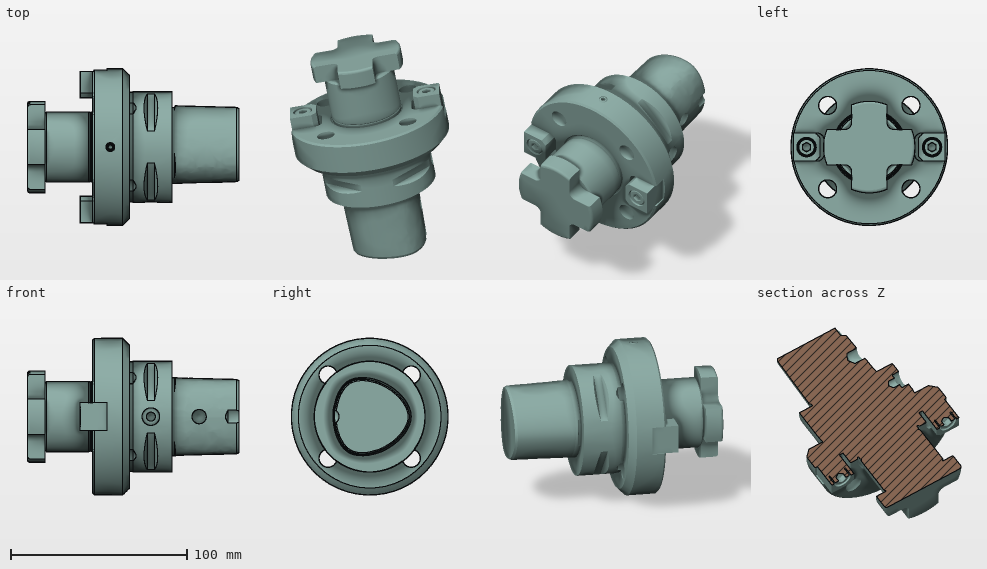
import math

import cadquery as cq

OVERALL_LENGTH = 120.0
EPS = 0.01
CLEARANCE = 1.0

CAP_RADIUS = 26.0
CAP_THICKNESS = 10.0
CAP_ARM_WIDTH = 20.0
CAP_CORNER_RADIUS = 4.0
CAP_EDGE_FILLET = 1.5

SPIGOT_RADIUS = 20.0
SPIGOT_CHAMFER = 0.9
RELIEF_RADIUS = 39.6 / 2
RELIEF_GROOVE_DEPTH = 0.4
RELIEF_GROOVE_WIDTH = 0.8
RELIEF_GROOVE_SLOPE = 0.3
RELIEF_GROOVE_GAP = 0.75
RELIEF_LENGTH = 2.3

FLANGE_FRONT = 37.0
FLANGE_BACK = 58.0
FLANGE_RADIUS = 44.5
FLANGE_FRONT_CHAMFER = 1.0
FLANGE_BACK_CHAMFER = 4.0
FLANGE_RECESS_RADIUS = 20.5
FLANGE_RECESS_DEPTH = 1.0
FLANGE_RECESS_CHAMFER = 0.6

BODY_RADIUS = 63.0 / 2
BODY_BACK = 82.0
BODY_NECK_RADIUS = BODY_RADIUS - 0.25
BODY_NECK_END = FLANGE_BACK + 1.8

BOLT_HOLE_DIAMETER = 10.11
BOLT_CIRCLE_RADIUS = 33.4
DIAGONAL_ANGLES = (45, 135, 225, 315)
DRILL_POINT_ANGLE = 118.0

GRIP_CENTER_X = 70.0
GRIP_FLOOR_DISTANCE = 27.8
GRIP_FLOOR_WIDTH = 4.0
GRIP_TOP_WIDTH = 7.8

SIDE_HOLE_DIAMETER = 10.0
SIDE_HOLE_DEPTH = 4.5
SIDE_PILOT_DIAMETER = 5.1
SIDE_PILOT_DEPTH = 4.0

KEY_WIDTH = 16.0
KEY_FRONT = 29.8
KEY_SEAT = 45.0
KEY_INNER = 27.9
KEY_OUTER = 43.0
KEY_CHAMFER = 2.7
SLOT_INNER = 25.7
SLOT_CORNER_RADIUS = 4.0

SCREW_POSITION = 35.6
SCREW_BORE_DIAMETER = 11.0
SCREW_BORE_DEPTH = 6.0
SCREW_HEAD_DIAMETER = 10.0
SCREW_HEAD_RECESS = 0.4
SCREW_HEAD_CHAMFER = 0.6
SCREW_SOCKET_SIZE = 4.7
SCREW_SOCKET_DEPTH = 3.0

SET_SCREW_X = 47.0
SET_SCREW_DIAMETER = 5.0
SET_SCREW_TOP = FLANGE_RADIUS + 0.15
SET_SCREW_LENGTH = 6.0
SET_SCREW_CHAMFER = 0.6
SET_SCREW_SOCKET_SIZE = 2.5
SET_SCREW_SOCKET_DEPTH = 2.0

SHANK_RADIUS = 22.08
SHANK_LOBE_COUNT = 3
SHANK_LOBE = 1.4
POINTS_PER_LOBE = 12
SHANK_TAPER = 1 / 40
SHANK_COLLAR_EXTRA = 0.12
SHANK_COLLAR_END = 2.1
SHANK_TAPER_START = 3.1
SHANK_CHAMFER_LENGTH = 1.4
SHANK_CHAMFER_DEPTH = 0.7
LOBE_RELIEF_RADIUS = 22.5
LOBE_RELIEF_FLOOR = 1.3
LOBE_RELIEF_END = 2.0

SHANK_HOLE_DIAMETER = 8.1
SHANK_HOLE_OFFSET = 15.4
SHANK_HOLE_DEPTH = 7.0
NOTCH_DIAMETER = 8.1
NOTCH_LENGTH = 6.2
NOTCH_AXIS_Y = -21.4


def revolve_profile(points):
    """Revolve a closed outline of (x, radius) points about the X axis."""
    return cq.Workplane("XY").polyline(points).close().revolve(360, (0, 0, 0), (1, 0, 0))


def rod(diameter, length, start, direction):
    """Cylinder from a start point along a direction."""
    cylinder = cq.Solid.makeCylinder(diameter / 2, length, cq.Vector(start), cq.Vector(direction))
    return cq.Workplane(cylinder)


def drill(diameter, length, start, direction):
    """Cylinder with a conical drill point beyond its length."""
    radius = diameter / 2
    axis = cq.Vector(direction)
    tip_height = radius / math.tan(math.radians(DRILL_POINT_ANGLE / 2))
    cone_base = cq.Vector(start) + axis * length
    tip = cq.Workplane(cq.Solid.makeCone(radius, 0, tip_height, cone_base, axis))
    return rod(diameter, length, start, direction).union(tip)


def hex_socket(size, depth, start, direction, x_direction):
    """Hexagonal socket with a conical bottom; its corners point along x_direction."""
    corner_diameter = size / math.cos(math.radians(30))
    plane = cq.Plane(origin=start, xDir=x_direction, normal=direction)
    hexagon = cq.Workplane(plane).polygon(6, corner_diameter).extrude(depth)
    point = drill(size, depth, start, direction)
    return hexagon.union(point)


def make_cap():
    """Disc with a rounded front edge, cut down to a cross."""
    disc = rod(2 * CAP_RADIUS, CAP_THICKNESS, (0, 0, 0), (1, 0, 0))
    disc = disc.faces("<X").edges().fillet(CAP_EDGE_FILLET)
    arm_length = 2 * (CAP_RADIUS + CLEARANCE)
    section = cq.Workplane("YZ")
    cross = section.rect(arm_length, CAP_ARM_WIDTH).extrude(CAP_THICKNESS)
    cross = cross.union(section.rect(CAP_ARM_WIDTH, arm_length).extrude(CAP_THICKNESS))
    inner_corner = CAP_ARM_WIDTH / 2 + EPS
    corner_box = cq.selectors.BoxSelector(
        (-CLEARANCE, -inner_corner, -inner_corner),
        (CAP_THICKNESS + CLEARANCE, inner_corner, inner_corner),
    )
    cross = cross.edges("|X").edges(corner_box).fillet(CAP_CORNER_RADIUS)
    return disc.intersect(cross)


def make_turned_body():
    """Spigot, flange and gripper body as one turned shape."""
    spigot_end = FLANGE_FRONT - RELIEF_LENGTH
    groove_back = FLANGE_FRONT - RELIEF_GROOVE_GAP
    groove_front = groove_back - RELIEF_GROOVE_WIDTH
    groove_radius = RELIEF_RADIUS - RELIEF_GROOVE_DEPTH
    return revolve_profile([
        (CAP_THICKNESS - EPS, 0),
        (CAP_THICKNESS - EPS, SPIGOT_RADIUS - SPIGOT_CHAMFER),
        (CAP_THICKNESS, SPIGOT_RADIUS - SPIGOT_CHAMFER),
        (CAP_THICKNESS + SPIGOT_CHAMFER, SPIGOT_RADIUS),
        (spigot_end, SPIGOT_RADIUS),
        (spigot_end, RELIEF_RADIUS),
        (groove_front, RELIEF_RADIUS),
        (groove_front + RELIEF_GROOVE_SLOPE, groove_radius),
        (groove_back - RELIEF_GROOVE_SLOPE, groove_radius),
        (groove_back, RELIEF_RADIUS),
        (FLANGE_FRONT + FLANGE_RECESS_DEPTH, RELIEF_RADIUS),
        (FLANGE_FRONT + FLANGE_RECESS_DEPTH, FLANGE_RECESS_RADIUS),
        (FLANGE_FRONT + FLANGE_RECESS_CHAMFER, FLANGE_RECESS_RADIUS),
        (FLANGE_FRONT, FLANGE_RECESS_RADIUS + FLANGE_RECESS_CHAMFER),
        (FLANGE_FRONT, FLANGE_RADIUS - FLANGE_FRONT_CHAMFER),
        (FLANGE_FRONT + FLANGE_FRONT_CHAMFER, FLANGE_RADIUS),
        (FLANGE_BACK - FLANGE_BACK_CHAMFER, FLANGE_RADIUS),
        (FLANGE_BACK, FLANGE_RADIUS - FLANGE_BACK_CHAMFER),
        (FLANGE_BACK, BODY_NECK_RADIUS),
        (BODY_NECK_END, BODY_NECK_RADIUS),
        (BODY_NECK_END, BODY_RADIUS),
        (BODY_BACK, BODY_RADIUS),
        (BODY_BACK, 0),
    ])


def polygon_section(x, radius):
    """Closed wire of the three-lobed constant-width curve, seams at the flats."""
    def curve_point(angle):
        support = radius + SHANK_LOBE * math.cos(SHANK_LOBE_COUNT * angle)
        slope = -SHANK_LOBE_COUNT * SHANK_LOBE * math.sin(SHANK_LOBE_COUNT * angle)
        y = support * math.cos(angle) - slope * math.sin(angle)
        z = support * math.sin(angle) + slope * math.cos(angle)
        return cq.Vector(x, y, z)

    def tangent(angle):
        return cq.Vector(0, -math.sin(angle), math.cos(angle))

    lobe_span = 2 * math.pi / SHANK_LOBE_COUNT
    edges = []
    for lobe in range(SHANK_LOBE_COUNT):
        start = (lobe - 0.5) * lobe_span
        end = start + lobe_span
        points = [
            curve_point(start + lobe_span * step / POINTS_PER_LOBE)
            for step in range(POINTS_PER_LOBE + 1)
        ]
        edges.append(cq.Edge.makeSpline(points, tangents=[tangent(start), tangent(end)]))
    return cq.Wire.assembleEdges(edges)


def make_shank():
    """Tapered polygon shank with its collar, lobe relief, coding hole and notch."""
    chamfer_start = OVERALL_LENGTH - SHANK_CHAMFER_LENGTH
    end_radius = SHANK_RADIUS - SHANK_TAPER * (OVERALL_LENGTH - BODY_BACK)
    chamfer_start_radius = end_radius + SHANK_TAPER * SHANK_CHAMFER_LENGTH
    collar_radius = SHANK_RADIUS + SHANK_COLLAR_EXTRA
    taper_start_radius = SHANK_RADIUS - SHANK_TAPER * SHANK_TAPER_START
    sections = [
        polygon_section(BODY_BACK - EPS, collar_radius),
        polygon_section(BODY_BACK + SHANK_COLLAR_END, collar_radius),
        polygon_section(BODY_BACK + SHANK_TAPER_START, taper_start_radius),
        polygon_section(chamfer_start, chamfer_start_radius),
        polygon_section(OVERALL_LENGTH, end_radius - SHANK_CHAMFER_DEPTH),
    ]
    shank = cq.Workplane(cq.Solid.makeLoft(sections, True))

    collar_lobe_radius = collar_radius + SHANK_LOBE
    lobe_relief = revolve_profile([
        (BODY_BACK, LOBE_RELIEF_RADIUS),
        (BODY_BACK + LOBE_RELIEF_FLOOR, LOBE_RELIEF_RADIUS),
        (BODY_BACK + LOBE_RELIEF_END, collar_lobe_radius),
        (BODY_BACK + LOBE_RELIEF_END, BODY_RADIUS),
        (BODY_BACK, BODY_RADIUS),
    ])
    coding_hole_x = BODY_BACK + SHANK_HOLE_OFFSET
    flat_y = -(SHANK_RADIUS - SHANK_LOBE)
    coding_hole = drill(SHANK_HOLE_DIAMETER, SHANK_HOLE_DEPTH, (coding_hole_x, flat_y, 0), (0, 1, 0))
    notch = drill(NOTCH_DIAMETER, NOTCH_LENGTH, (OVERALL_LENGTH, NOTCH_AXIS_Y, 0), (-1, 0, 0))
    return shank.cut(lobe_relief).cut(coding_hole).cut(notch)


def bolt_hole(angle):
    """Drilled hole on the bolt circle, running from the flange front to the body."""
    start = (FLANGE_FRONT, BOLT_CIRCLE_RADIUS, 0)
    hole = drill(BOLT_HOLE_DIAMETER, BODY_NECK_END - FLANGE_FRONT, start, (1, 0, 0))
    return hole.rotate((0, 0, 0), (1, 0, 0), angle)


def grip_groove(angle):
    """Straight groove with a flat floor and sloping sides, across the +Y side, then turned."""
    groove = (
        cq.Workplane("XY")
        .polyline([
            (GRIP_CENTER_X - GRIP_FLOOR_WIDTH / 2, GRIP_FLOOR_DISTANCE),
            (GRIP_CENTER_X + GRIP_FLOOR_WIDTH / 2, GRIP_FLOOR_DISTANCE),
            (GRIP_CENTER_X + GRIP_TOP_WIDTH / 2, BODY_RADIUS),
            (GRIP_CENTER_X - GRIP_TOP_WIDTH / 2, BODY_RADIUS),
        ])
        .close()
        .extrude(BODY_RADIUS, both=True)
    )
    return groove.rotate((0, 0, 0), (1, 0, 0), angle)


def side_hole():
    """Stepped blind hole on the -Y side of the body."""
    start = (GRIP_CENTER_X, -BODY_RADIUS, 0)
    counterbore = rod(SIDE_HOLE_DIAMETER, SIDE_HOLE_DEPTH, start, (0, 1, 0))
    pilot = drill(SIDE_PILOT_DIAMETER, SIDE_HOLE_DEPTH + SIDE_PILOT_DEPTH, start, (0, 1, 0))
    return counterbore.union(pilot)


def key_slot():
    """Slot on the +Y side of the flange front with rounded inner corners."""
    length = FLANGE_RADIUS - SLOT_INNER + CLEARANCE
    return (
        cq.Workplane("XY")
        .box(KEY_SEAT - FLANGE_FRONT, length, KEY_WIDTH, centered=(False, False, True))
        .translate((FLANGE_FRONT, SLOT_INNER, 0))
        .edges("|X and <Y")
        .fillet(SLOT_CORNER_RADIUS)
    )


def drive_key():
    """Key on the +Y side with its cap screw sunk into it."""
    key = (
        cq.Workplane("XY")
        .box(KEY_SEAT - KEY_FRONT + EPS, KEY_OUTER - KEY_INNER, KEY_WIDTH, centered=(False, False, True))
        .translate((KEY_FRONT, KEY_INNER, 0))
        .edges("|X and <Y")
        .chamfer(KEY_CHAMFER)
    )
    bore = rod(SCREW_BORE_DIAMETER, SCREW_BORE_DEPTH, (KEY_FRONT, SCREW_POSITION, 0), (1, 0, 0))
    head_start = (KEY_FRONT + SCREW_HEAD_RECESS, SCREW_POSITION, 0)
    head_height = SCREW_BORE_DEPTH - SCREW_HEAD_RECESS + EPS
    head = rod(SCREW_HEAD_DIAMETER, head_height, head_start, (1, 0, 0))
    head = head.faces("<X").edges().chamfer(SCREW_HEAD_CHAMFER)
    socket = hex_socket(SCREW_SOCKET_SIZE, SCREW_SOCKET_DEPTH, head_start, (1, 0, 0), (0, 0, 1))
    return key.cut(bore).union(head.cut(socket))


def add_set_screw(body):
    """Drill the top of the flange rim and fill the hole with a set screw."""
    bottom = (SET_SCREW_X, 0, SET_SCREW_TOP - SET_SCREW_LENGTH)
    screw = rod(SET_SCREW_DIAMETER, SET_SCREW_LENGTH, bottom, (0, 0, 1))
    screw = screw.faces(">Z").edges().chamfer(SET_SCREW_CHAMFER)
    top = (SET_SCREW_X, 0, SET_SCREW_TOP)
    hole = rod(SET_SCREW_DIAMETER, SET_SCREW_LENGTH, bottom, (0, 0, 1))
    socket = hex_socket(SET_SCREW_SOCKET_SIZE, SET_SCREW_SOCKET_DEPTH, top, (0, 0, -1), (0, 1, 0))
    return body.cut(hole).union(screw.cut(socket))


body = make_turned_body().union(make_cap())
for angle in DIAGONAL_ANGLES:
    body = body.cut(bolt_hole(angle)).cut(grip_groove(angle))
body = body.cut(side_hole())

for angle in (0, 180):
    slot = key_slot().rotate((0, 0, 0), (1, 0, 0), angle)
    key = drive_key().rotate((0, 0, 0), (1, 0, 0), angle)
    body = body.cut(slot).union(key)

result = add_set_screw(body).union(make_shank())